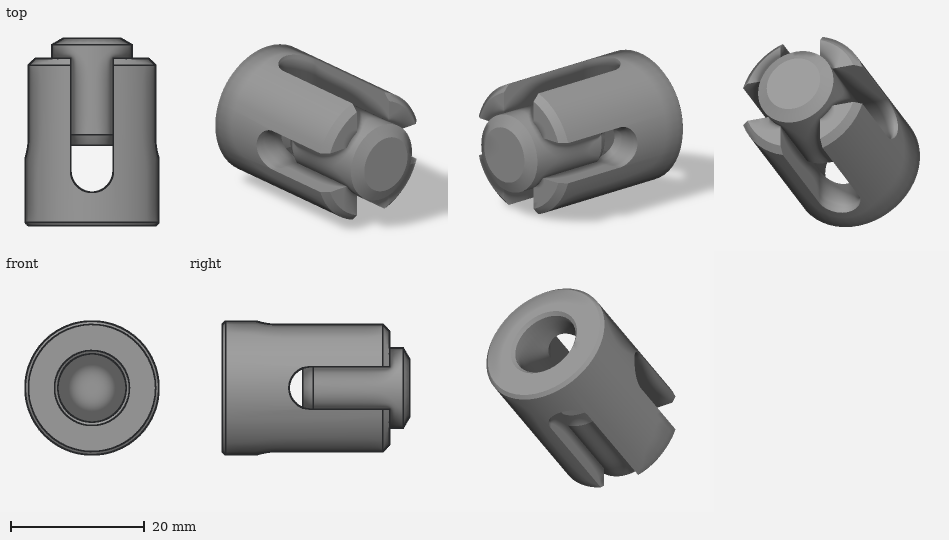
import cadquery as cq
import math

overall_length = 28.0
sleeve_length = 25.0
sleeve_radius = 10.0
mouth_chamfer = 0.5
rear_chamfer = 1.0

bore_radius = 5.1
pin_radius = 6.0
pin_length = 16.0
pin_rear_chamfer_length = 1.0
pin_chamfer_angle = 30.0

slot_width = 6.3
vertical_slot_floor = 5.0
cross_slot_floor = 10.0

slope = math.tan(math.radians(pin_chamfer_angle))
seat_start = overall_length - pin_length
seat_end = seat_start + (pin_radius - bore_radius) / slope
pin_rear_radius = pin_radius - pin_rear_chamfer_length / slope


def turned(points):
    """Revolve a closed (radius, Y) outline about the Y axis."""
    return cq.Workplane("XY").polyline(points).close().revolve(360, (0, 0), (0, 1))


def slot_cutter(plane, floor):
    """Through slot with a round floor, open at the rear of the sleeve."""
    half_width = slot_width / 2
    return (
        cq.Workplane(plane)
        .moveTo(-half_width, sleeve_length)
        .lineTo(-half_width, floor + half_width)
        .threePointArc((0, floor), (half_width, floor + half_width))
        .lineTo(half_width, sleeve_length)
        .close()
        .extrude(sleeve_radius, both=True)
    )


def make_sleeve():
    """Bored sleeve with four prongs between two crossing slots."""
    blank = turned([
        (bore_radius + mouth_chamfer, 0),
        (sleeve_radius - mouth_chamfer, 0),
        (sleeve_radius, mouth_chamfer),
        (sleeve_radius, sleeve_length - rear_chamfer),
        (sleeve_radius - rear_chamfer, sleeve_length),
        (pin_radius, sleeve_length),
        (pin_radius, seat_end),
        (bore_radius, seat_start),
        (bore_radius, mouth_chamfer),
    ])
    vertical_slot = slot_cutter("XY", vertical_slot_floor)
    cross_plane = cq.Plane(origin=(0, 0, 0), xDir=(0, 0, 1), normal=(-1, 0, 0))
    cross_slot = slot_cutter(cross_plane, cross_slot_floor)
    return blank.cut(vertical_slot).cut(cross_slot)


def make_pin():
    """Solid pin, tapered at both ends and standing out of the sleeve's rear."""
    return turned([
        (0, seat_start),
        (bore_radius, seat_start),
        (pin_radius, seat_end),
        (pin_radius, overall_length - pin_rear_chamfer_length),
        (pin_rear_radius, overall_length),
        (0, overall_length),
    ])


sleeve = make_sleeve()
pin = make_pin()
result = cq.Compound.makeCompound([sleeve.solids().val(), pin.val()])